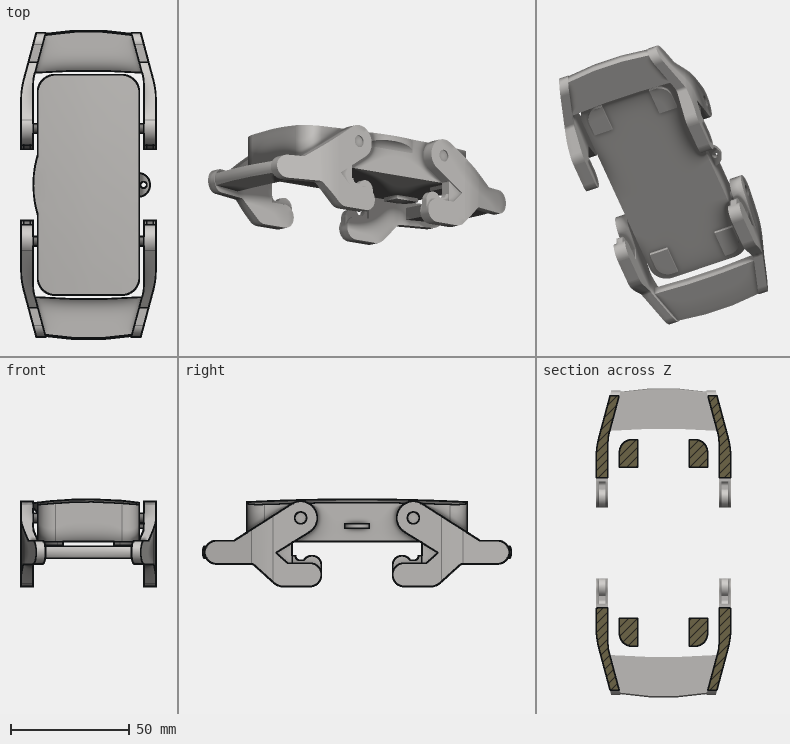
import cadquery as cq
import math

COVER_WIDTH = 43.0
COVER_LENGTH = 93.0
COVER_CORNER = 7.5
CROWN_Z = 17.97
DOME_RADIUS_X = 165.0
DOME_RADIUS_Y = 905.0
DOME_CUT_HEIGHT = 20.0

LIP_HALF_LENGTH = 12.4
LIP_REACH = 1.8
LEDGE_Z = 10.6
COVE_RADIUS = 4.0
COVE_OFFSET = 3.8

TAB_RADIUS = 5.1
TAB_REACH = 4.5
TAB_HOLE_RADIUS = 1.3
TAB_HOLE_OFFSET = 1.75
TAB_BOTTOM_Z = 5.6
TAB_THICKNESS = 2.0

PAD_INSET = 2.8
PAD_CORNER = 5.6
PAD_INNER_X = 10.7
PAD_LENGTH = 12.0
PAD_HEIGHT = 1.6

OVERALL_WIDTH = 57.0
OVERALL_LENGTH = 130.5
ARM_THICKNESS = 5.2
ARM_OUTER_X = OVERALL_WIDTH / 2
ARM_INNER_X = ARM_OUTER_X - ARM_THICKNESS
BEND_ANGLE = math.radians(15)
BEND_START_Y = 35.5
BEND_END_Y = 44.5
INNER_BEND_RADIUS = 14.0

PIVOT_Y = 23.75
PIVOT_Z = 10.05
PIVOT_EYE_RADIUS = 7.0
PIN_RADIUS = 2.05
PIN_RECESS_RADIUS = 2.5
PIN_RECESS_DEPTH = 0.8

GRIP_END_Y = 64.2
GRIP_TOP_Z = 0.5
GRIP_BOTTOM_Z = -9.4
GRIP_SHOULDER_Y = 51.8
HEEL_FILLET = 6.0
GRIP_ROOT_Y = 43.9
GRIP_ROOT_FILLET = 2.0

HOOK_BOTTOM_Z = -18.95
HOOK_TOP_Z = -9.0
HOOK_TIP_Y = 15.0
HEEL_Y = 33.3
MOUTH_CORNER_Y = 29.3
MOUTH_APEX = (34.1, -4.65)

CHEEK_THICKNESS = 1.25
MOUTH_SKIN = 0.75
STEM_Y = 27.3
CATCH_RADIUS = 4.0
CATCH_TOP_Z = -5.85
NOTCH_FLOOR_Z = -7.8
NOTCH_WALL_Y = 25.9
NOTCH_FILLET = 1.8

BAR_TOP_Z = -1.9
BAR_BOTTOM_Z = -7.0
BAR_OUTER_RADIUS = 111.0
BAR_OUTER_BULGE = 0.6
BAR_INNER_RADIUS = 300.0
BAR_INNER_Y = 48.1
BAR_EMBED = 1.7
FULL_TURN = 360

HALF_WIDTH = COVER_WIDTH / 2


def dome_cutter():
    """Stock above the doubly curved top: an X arc swept about an axis parallel to X."""
    half = OVERALL_WIDTH / 2
    sag = DOME_RADIUS_X - math.sqrt(DOME_RADIUS_X**2 - half**2)
    edge_z = CROWN_Z - sag
    axis_z = CROWN_Z - DOME_RADIUS_Y
    sweep = math.degrees(2 * math.asin(COVER_LENGTH / DOME_RADIUS_Y))
    cutter = (
        cq.Workplane("XZ")
        .moveTo(-half, edge_z)
        .threePointArc((0, CROWN_Z), (half, edge_z))
        .lineTo(half, CROWN_Z + DOME_CUT_HEIGHT)
        .lineTo(-half, CROWN_Z + DOME_CUT_HEIGHT)
        .close()
        .revolve(sweep, (0, axis_z), (1, axis_z))
    )
    return cutter.rotate((0, 0, axis_z), (1, 0, axis_z), -sweep / 2)


def finger_lip():
    """Bowed bulge of the -X wall above the ledge."""
    return (
        cq.Workplane("XY")
        .workplane(offset=LEDGE_Z)
        .moveTo(-HALF_WIDTH, -LIP_HALF_LENGTH)
        .threePointArc((-HALF_WIDTH - LIP_REACH, 0), (-HALF_WIDTH, LIP_HALF_LENGTH))
        .close()
        .extrude(CROWN_Z - LEDGE_Z)
    )


def finger_cove():
    """Quarter-round scoop beneath the lip, flat at the ledge."""
    axis_x = -HALF_WIDTH - COVE_OFFSET
    return (
        cq.Workplane("XZ")
        .moveTo(axis_x, LEDGE_Z)
        .lineTo(axis_x + COVE_RADIUS, LEDGE_Z)
        .radiusArc((axis_x, LEDGE_Z + COVE_RADIUS), -COVE_RADIUS)
        .close()
        .extrude(LIP_HALF_LENGTH, both=True)
    )


def lanyard_tab():
    centre_x = HALF_WIDTH + TAB_REACH - TAB_RADIUS
    return (
        cq.Workplane("XY")
        .workplane(offset=TAB_BOTTOM_Z)
        .center(centre_x, 0)
        .circle(TAB_RADIUS)
        .extrude(TAB_THICKNESS)
    )


def lanyard_hole():
    return (
        cq.Workplane("XY")
        .workplane(offset=TAB_BOTTOM_Z)
        .center(HALF_WIDTH + TAB_HOLE_OFFSET, 0)
        .circle(TAB_HOLE_RADIUS)
        .extrude(TAB_THICKNESS)
    )


def corner_pad():
    """Pad under the +X +Y corner of the cover."""
    outer_x = HALF_WIDTH - PAD_INSET
    outer_y = COVER_LENGTH / 2 - PAD_INSET
    return (
        cq.Workplane("XY")
        .moveTo(PAD_INNER_X, outer_y - PAD_LENGTH)
        .lineTo(outer_x, outer_y - PAD_LENGTH)
        .lineTo(outer_x, outer_y - PAD_CORNER)
        .radiusArc((outer_x - PAD_CORNER, outer_y), -PAD_CORNER)
        .lineTo(PAD_INNER_X, outer_y)
        .close()
        .extrude(-PAD_HEIGHT)
    )


def make_cover():
    cover = (
        cq.Workplane("XY")
        .rect(COVER_WIDTH, COVER_LENGTH)
        .extrude(CROWN_Z)
        .edges("|Z")
        .fillet(COVER_CORNER)
    )
    cover = cover.union(finger_lip()).cut(finger_cove()).cut(dome_cutter())
    return cover.union(lanyard_tab()).cut(lanyard_hole())


def eye_tangent(point, side):
    """Touch point on the pivot eye of the tangent from an outside (y, z) point."""
    dy = point[0] - PIVOT_Y
    dz = point[1] - PIVOT_Z
    spread = math.acos(PIVOT_EYE_RADIUS / math.hypot(dy, dz))
    angle = math.atan2(dz, dy) + side * spread
    return (
        PIVOT_Y + PIVOT_EYE_RADIUS * math.cos(angle),
        PIVOT_Z + PIVOT_EYE_RADIUS * math.sin(angle),
    )


def arm_side_profile():
    """Side outline of the arm: pivot eye, hook and grip, extruded along +X."""
    shoulder = (GRIP_SHOULDER_Y, GRIP_TOP_Z)
    grip_mid_z = (GRIP_TOP_Z + GRIP_BOTTOM_Z) / 2
    grip_round_y = GRIP_END_Y - (GRIP_TOP_Z - GRIP_BOTTOM_Z) / 2
    hook_mid_z = (HOOK_TOP_Z + HOOK_BOTTOM_Z) / 2
    hook_round_y = HOOK_TIP_Y + (HOOK_TOP_Z - HOOK_BOTTOM_Z) / 2
    profile = (
        cq.Workplane("YZ")
        .moveTo(*shoulder)
        .lineTo(grip_round_y, GRIP_TOP_Z)
        .threePointArc((GRIP_END_Y, grip_mid_z), (grip_round_y, GRIP_BOTTOM_Z))
        .lineTo(GRIP_ROOT_Y, GRIP_BOTTOM_Z)
        .lineTo(HEEL_Y, HOOK_BOTTOM_Z)
        .lineTo(hook_round_y, HOOK_BOTTOM_Z)
        .threePointArc((HOOK_TIP_Y, hook_mid_z), (hook_round_y, HOOK_TOP_Z))
        .lineTo(MOUTH_CORNER_Y, HOOK_TOP_Z)
        .lineTo(*MOUTH_APEX)
        .lineTo(*eye_tangent(MOUTH_APEX, -1))
        .threePointArc((PIVOT_Y - PIVOT_EYE_RADIUS, PIVOT_Z), eye_tangent(shoulder, 1))
        .close()
        .extrude(ARM_OUTER_X)
    )
    heel = cq.selectors.NearestToPointSelector((ARM_OUTER_X / 2, HEEL_Y, HOOK_BOTTOM_Z))
    profile = profile.edges("|X").edges(heel).fillet(HEEL_FILLET)
    root = cq.selectors.NearestToPointSelector((ARM_OUTER_X / 2, GRIP_ROOT_Y, GRIP_BOTTOM_Z))
    return profile.edges("|X").edges(root).fillet(GRIP_ROOT_FILLET)


def arm_plan():
    """Plan strip of the +X +Y arm: straight along Y, then bent inwards."""
    slope = math.tan(BEND_ANGLE)
    bend_radius = (BEND_END_Y - BEND_START_Y) / math.sin(BEND_ANGLE)
    bend_end_x = ARM_OUTER_X - bend_radius * (1 - math.cos(BEND_ANGLE))
    outer_end_x = bend_end_x - (GRIP_END_Y - BEND_END_Y) * slope
    inner_end_x = ARM_INNER_X - (GRIP_END_Y - BEND_END_Y) * slope
    height = PIVOT_Z + PIVOT_EYE_RADIUS - HOOK_BOTTOM_Z
    plan = (
        cq.Workplane("XY")
        .workplane(offset=HOOK_BOTTOM_Z)
        .moveTo(ARM_INNER_X, 0)
        .lineTo(ARM_OUTER_X, 0)
        .lineTo(ARM_OUTER_X, BEND_START_Y)
        .radiusArc((bend_end_x, BEND_END_Y), -bend_radius)
        .lineTo(outer_end_x, GRIP_END_Y)
        .lineTo(inner_end_x, GRIP_END_Y)
        .lineTo(ARM_INNER_X, BEND_END_Y)
        .close()
        .extrude(height)
    )
    inner_bend = cq.selectors.NearestToPointSelector((ARM_INNER_X, BEND_END_Y, 0))
    return plan.edges("|Z").edges(inner_bend).fillet(INNER_BEND_RADIUS)


def hook_catch():
    """Notched catch plate sandwiched between the two cheeks of the hook."""
    centre_y = HOOK_TIP_Y + CATCH_RADIUS
    centre_z = CATCH_TOP_Z - CATCH_RADIUS
    notch_y = centre_y + math.sqrt(CATCH_RADIUS**2 - (NOTCH_FLOOR_Z - centre_z) ** 2)
    return (
        cq.Workplane("YZ")
        .workplane(offset=ARM_INNER_X + CHEEK_THICKNESS)
        .moveTo(HOOK_TIP_Y, (HOOK_TOP_Z + HOOK_BOTTOM_Z) / 2)
        .lineTo(HOOK_TIP_Y, centre_z)
        .threePointArc((centre_y, CATCH_TOP_Z), (notch_y, NOTCH_FLOOR_Z))
        .lineTo(NOTCH_WALL_Y - NOTCH_FILLET, NOTCH_FLOOR_Z)
        .radiusArc((NOTCH_WALL_Y, NOTCH_FLOOR_Z + NOTCH_FILLET), -NOTCH_FILLET)
        .lineTo(NOTCH_WALL_Y, CATCH_TOP_Z)
        .lineTo(MOUTH_CORNER_Y, CATCH_TOP_Z)
        .lineTo(MOUTH_CORNER_Y, (HOOK_TOP_Z + HOOK_BOTTOM_Z) / 2)
        .close()
        .extrude(ARM_THICKNESS - 2 * CHEEK_THICKNESS)
    )


def hook_stem():
    """Web closing the back of the mouth behind the outer skin."""
    return (
        cq.Workplane("YZ")
        .workplane(offset=ARM_INNER_X)
        .moveTo(STEM_Y, HOOK_TOP_Z)
        .lineTo(STEM_Y, GRIP_TOP_Z)
        .lineTo(BEND_START_Y, GRIP_TOP_Z)
        .lineTo(BEND_START_Y, HOOK_TOP_Z)
        .close()
        .extrude(ARM_THICKNESS - MOUTH_SKIN)
    )


def pivot_pin():
    return (
        cq.Workplane("YZ")
        .workplane(offset=HALF_WIDTH)
        .center(PIVOT_Y, PIVOT_Z)
        .circle(PIN_RADIUS)
        .extrude(ARM_INNER_X - HALF_WIDTH)
    )


def pin_recess():
    return (
        cq.Workplane("YZ")
        .workplane(offset=ARM_OUTER_X - PIN_RECESS_DEPTH)
        .center(PIVOT_Y, PIVOT_Z)
        .circle(PIN_RECESS_RADIUS)
        .extrude(PIN_RECESS_DEPTH)
    )


def make_arm():
    arm = arm_side_profile().intersect(arm_plan())
    return arm.union(hook_catch()).union(hook_stem()).cut(pin_recess()).union(pivot_pin())


def make_bar():
    """Handle bar joining the two +Y arms, bowed in plan."""
    crest_y = OVERALL_LENGTH / 2
    axis_y = crest_y - BAR_OUTER_RADIUS
    edge_y = crest_y - BAR_OUTER_BULGE
    mid_z = (BAR_TOP_Z + BAR_BOTTOM_Z) / 2
    root_y = PIVOT_Y
    ring = (
        cq.Workplane("YZ")
        .moveTo(root_y, BAR_BOTTOM_Z)
        .lineTo(edge_y, BAR_BOTTOM_Z)
        .threePointArc((crest_y, mid_z), (edge_y, BAR_TOP_Z))
        .lineTo(root_y, BAR_TOP_Z)
        .close()
        .revolve(FULL_TURN, (axis_y, 0), (axis_y, 1))
    )
    inner_edge = (
        cq.Workplane("XY")
        .workplane(offset=BAR_BOTTOM_Z)
        .center(0, BAR_INNER_Y - BAR_INNER_RADIUS)
        .circle(BAR_INNER_RADIUS)
        .extrude(BAR_TOP_Z - BAR_BOTTOM_Z)
    )
    slope = math.tan(BEND_ANGLE)
    near_x = ARM_INNER_X + BAR_EMBED
    far_x = near_x - (crest_y - BEND_END_Y) * slope
    span = (
        cq.Workplane("XY")
        .workplane(offset=BAR_BOTTOM_Z)
        .polyline([(-near_x, BEND_END_Y), (near_x, BEND_END_Y), (far_x, crest_y), (-far_x, crest_y)])
        .close()
        .extrude(BAR_TOP_Z - BAR_BOTTOM_Z)
    )
    return span.intersect(ring).cut(inner_edge)


def make_part():
    side = make_arm().union(corner_pad())
    end = side.union(side.mirror("YZ")).union(make_bar())
    return make_cover().union(end).union(end.mirror("XZ"))


result = make_part()